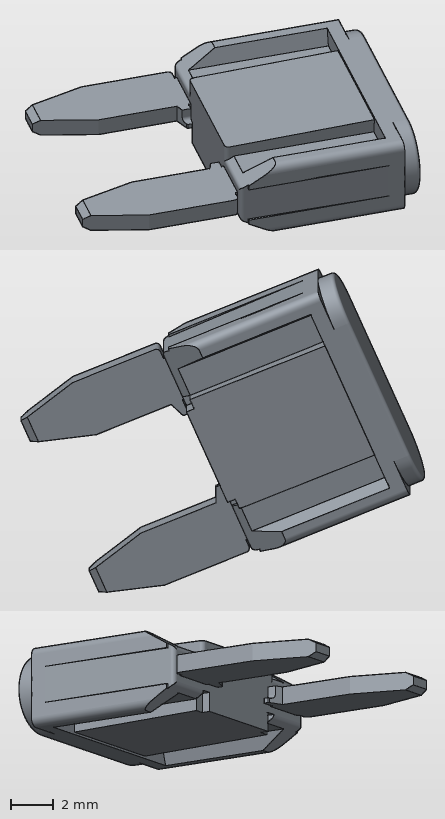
import cadquery as cq
import math


total_length = 16.26
width = 10.93
thickness = 3.8
housing_length = 8.78
blade_length = total_length - housing_length
half_width = width / 2
half_thickness = thickness / 2

cap_length = 0.8
cap_edge_radius = 0.18
body_edge_radius = 0.39
bevel_length = 1.79
bevel_angle = math.radians(30)
mouth_radius = 0.21
mouth_half_width = 5.35
bevel_drop = bevel_length * math.tan(bevel_angle)
body_length = housing_length - cap_length

ramp_half_height = 0.86
ramp_rear_y = 7.2
mouth_step_y = 0.37

pocket_floor_z = 1.1
pocket_floor_half_width = 4.37
pocket_top_half_width = 4.68
pocket_floor_rear_y = 7.24
pocket_top_rear_y = 7.27
pocket_overrun = 0.16

block_half_width = 2.95
block_half_height = 1.66
block_rear_half_height = 1.79
notch_width = 0.5
notch_depth = 0.39
ledge_z = half_thickness - bevel_drop - mouth_radius * math.tan(bevel_angle)

blade_thickness = 0.85
blade_inner_x = 2.65
blade_outer_x = half_width
shoulder_y = -0.11
shoulder_radius = 0.21
neck_outer_x = 4.9
taper_start_y = -4.49
tip_narrowing = 0.85
tip_chamfer_length = 0.37
tip_chamfer_depth = 0.21

tab_end_x = 1.92
tab_corner = 0.05
tab_end_y = -0.4
tab_root_y = -0.68
lip_start_x = 2.28
lip_thickness = 0.23
lip_radius = 0.2


def centred_box(x_half, y_min, y_max, z_half):
    """Box centred on X and Z, between two Y positions."""
    box = cq.Workplane("XY").box(2 * x_half, y_max - y_min, 2 * z_half)
    return box.translate((0, (y_min + y_max) / 2, 0))


def make_cap():
    """Rear end of the housing, a flat bar with half-round ends."""
    return (
        cq.Workplane("XZ", origin=(0, housing_length, 0))
        .slot2D(width, thickness)
        .extrude(cap_length)
        .faces(">Y")
        .edges()
        .fillet(cap_edge_radius)
    )


def bevelled_bar(x_half):
    """Bar of the housing thickness whose top and bottom faces slope in towards the mouth."""
    return (
        cq.Workplane("YZ")
        .moveTo(body_length, -half_thickness)
        .lineTo(bevel_length, -half_thickness)
        .lineTo(0, -half_thickness + bevel_drop)
        .lineTo(0, half_thickness - bevel_drop)
        .lineTo(bevel_length, half_thickness)
        .lineTo(body_length, half_thickness)
        .close()
        .extrude(x_half, both=True)
    )


def make_core():
    """Bevelled bar with sides tapering in to the mouth and a rounded mouth edge."""
    taper = (
        cq.Workplane("XY", origin=(0, 0, -half_thickness))
        .moveTo(mouth_half_width, 0)
        .lineTo(half_width, ramp_rear_y)
        .lineTo(half_width, body_length)
        .lineTo(-half_width, body_length)
        .lineTo(-half_width, ramp_rear_y)
        .lineTo(-mouth_half_width, 0)
        .close()
        .extrude(thickness)
    )
    return bevelled_bar(half_width).intersect(taper).faces("<Y").edges().fillet(mouth_radius)


def make_body():
    """Tapered core between full-width rails that leave a ramp bare on each side."""
    full_width = centred_box(half_width, mouth_step_y, body_length, half_thickness)
    ramp_gap = centred_box(half_width, mouth_step_y, ramp_rear_y, ramp_half_height)
    rails = bevelled_bar(half_width).intersect(full_width).cut(ramp_gap)
    envelope = centred_box(half_width, 0, body_length, half_thickness)
    rounded = envelope.edges("|Y").fillet(body_edge_radius)
    return rails.union(make_core()).intersect(rounded)


def pocket_outline(plane, half, rear_y):
    """Rectangle of a pocket level, running out through the mouth."""
    return (
        plane.moveTo(-half, -pocket_overrun)
        .lineTo(half, -pocket_overrun)
        .lineTo(half, rear_y)
        .lineTo(-half, rear_y)
        .close()
    )


def make_pocket():
    """Cutter for the top pocket, wider at the housing face than at its floor."""
    floor_plane = cq.Workplane("XY", origin=(0, 0, pocket_floor_z))
    floor = pocket_outline(floor_plane, pocket_floor_half_width, pocket_floor_rear_y)
    opening = floor.workplane(offset=half_thickness - pocket_floor_z)
    return pocket_outline(opening, pocket_top_half_width, pocket_top_rear_y).loft(ruled=True)


def make_block():
    """Central block, growing thicker to the rear, with rounded upper front corners."""
    block = (
        cq.Workplane("YZ")
        .moveTo(0, -block_half_height)
        .lineTo(pocket_top_rear_y, -block_rear_half_height)
        .lineTo(pocket_top_rear_y, block_rear_half_height)
        .lineTo(0, block_half_height)
        .close()
        .extrude(block_half_width, both=True)
    )
    above_ledge = centred_box(width, 0, housing_length, half_thickness)
    above_ledge = above_ledge.translate((0, 0, ledge_z + half_thickness))
    upper = block.intersect(above_ledge).edges("|Z and <Y").fillet(mouth_radius)
    return block.cut(above_ledge).union(upper)


def make_notch():
    """Cutter for the notch in the lower front +X corner of the block."""
    notch_height = half_thickness - ledge_z
    notch = cq.Workplane("XY").box(notch_width, notch_depth, notch_height, centered=False)
    return notch.translate((block_half_width - notch_width, 0, -half_thickness))


def make_blade():
    """+X blade with its neck, shoulder, tab and chamfered tip."""
    half_blade = blade_thickness / 2
    corner_mid = shoulder_radius * (1 - math.sqrt(0.5))
    blade = (
        cq.Workplane("XY", origin=(0, 0, -half_blade))
        .moveTo(blade_inner_x, 0)
        .lineTo(neck_outer_x, 0)
        .lineTo(neck_outer_x, shoulder_y)
        .lineTo(blade_outer_x - shoulder_radius, shoulder_y)
        .threePointArc(
            (blade_outer_x - corner_mid, shoulder_y - corner_mid),
            (blade_outer_x, shoulder_y - shoulder_radius),
        )
        .lineTo(blade_outer_x, taper_start_y)
        .lineTo(blade_outer_x - tip_narrowing, -blade_length)
        .lineTo(blade_inner_x + tip_narrowing, -blade_length)
        .lineTo(blade_inner_x, taper_start_y)
        .lineTo(blade_inner_x, tab_root_y)
        .lineTo(tab_end_x + tab_corner, tab_end_y)
        .lineTo(tab_end_x, tab_end_y + tab_corner)
        .lineTo(tab_end_x, shoulder_y - tab_corner)
        .lineTo(tab_end_x + tab_corner, shoulder_y)
        .lineTo(blade_inner_x, shoulder_y)
        .close()
        .extrude(blade_thickness)
    )
    lip_top = lip_thickness - half_blade
    lip_relief = (
        cq.Workplane("XY")
        .box(lip_start_x, -tab_root_y, blade_thickness, centered=False)
        .edges("|Y and >X and <Z")
        .fillet(lip_radius)
        .translate((0, tab_root_y, lip_top))
    )
    tip_side = (
        cq.Workplane("YZ")
        .moveTo(-blade_length, half_blade - tip_chamfer_depth)
        .lineTo(-blade_length + tip_chamfer_length, half_blade)
        .lineTo(-blade_length, half_blade)
        .close()
        .extrude(width)
    )
    return blade.cut(lip_relief).cut(tip_side).cut(tip_side.mirror("XY"))


housing = make_body()
pocket = make_pocket()
housing = housing.cut(pocket).cut(pocket.mirror("XY"))

notch = make_notch()
housing = housing.union(make_block()).cut(notch).cut(notch.mirror("YZ")).union(make_cap())

blade = make_blade()
result = housing.union(blade).union(blade.mirror("YZ"))